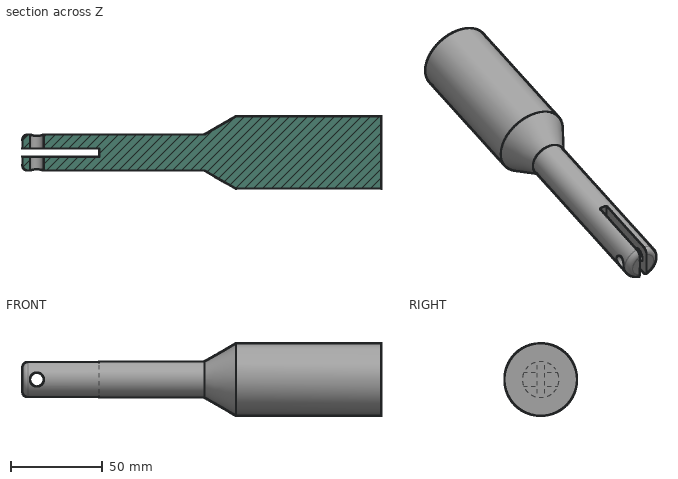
import cadquery as cq
import math

total_length = 197.3
body_diameter = 40.0
shank_diameter = 20.0
shank_length = 100.0
cone_half_angle = 30.0
tip_fillet = 3.2

slot_width = 4.3
slot_depth = 42.2

pin_hole_diameter = 7.5
pin_hole_from_tip = 8.0

body_radius = body_diameter / 2
shank_radius = shank_diameter / 2
cone_length = (body_radius - shank_radius) / math.tan(math.radians(cone_half_angle))
body_start = shank_length + cone_length


def turned_blank():
    """Shank, cone and body revolved about X, with a rounded shank tip."""
    profile = (
        cq.Workplane("XY")
        .polyline([
            (0, 0),
            (0, shank_radius),
            (shank_length, shank_radius),
            (body_start, body_radius),
            (total_length, body_radius),
            (total_length, 0),
        ])
        .close()
    )
    blank = profile.revolve(360, (0, 0, 0), (1, 0, 0))
    return blank.faces("<X").edges().fillet(tip_fillet)


def tip_slot():
    """Flat-bottomed slot, centred on the axis and cut in from the tip."""
    return cq.Workplane("XY").box(
        slot_depth, slot_width, body_diameter, centered=(False, True, True)
    )


def pin_hole():
    """Round hole along Y through both prongs."""
    return (
        cq.Workplane("XZ")
        .center(pin_hole_from_tip, 0)
        .circle(pin_hole_diameter / 2)
        .extrude(body_radius, both=True)
    )


result = turned_blank().cut(tip_slot()).cut(pin_hole())